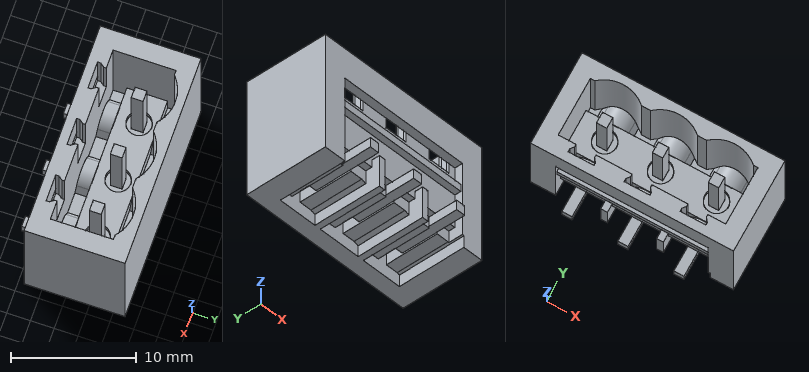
import cadquery as cq
import math


pole_count = 3
pitch = 5.08
pole_xs = [(i - (pole_count - 1) / 2) * pitch for i in range(pole_count)]
rib_xs = [(left + right) / 2 for left, right in zip(pole_xs, pole_xs[1:])]

end_overhang = 4.14
length = (pole_count - 1) * pitch + 2 * end_overhang
depth = 8.5
height = 12.0

cavity_half_length = 7.6
cavity_front = 1.65
cavity_back = 6.95
cavity_floor = 3.0
scallop_half_width = 2.125
scallop_rise = 0.82

web_front = 2.81
web_back = 6.24
web_top = 4.5
pin_recess_diameter = 2.1
pin_recess_depth = 0.5
ridge_half_width = 1.66
ridge_cap_half_width = 1.25
ridge_flank_angle = math.radians(57)

slot_floor = 7.83
slot_neck_half_width = 0.905
slot_half_width = 1.16
slot_neck_end = 1.42
slot_flank_end = 1.09

opening_half_length = 6.92
opening_top = 8.82
thin_wall_front = 0.82
thin_wall_bottom = 2.5
slab_front = 1.47
ledge_bottom = 5.95
ledge_top = 6.7
ledge_projection = 0.64

relief_right_end = 7.09
relief_height = 1.31
relief_flat_half_width = 1.75
relief_slope = 1 / 3
rib_width = 0.63
rib_height = 3.25

pin_width = 0.94
pin_thickness = 1.0
pin_y = 4.72
pin_top = 11.0
leg_bottom = 1.5
leg_projection = 1.5


def box(x_range, y_range, z_range):
    """Box spanning the given (low, high) ranges."""
    sizes = [high - low for low, high in (x_range, y_range, z_range)]
    corner = (x_range[0], y_range[0], z_range[0])
    return cq.Workplane("XY").box(*sizes, centered=False).translate(corner)


def span(centre, width):
    """(low, high) range of a width about its centre."""
    return (centre - width / 2, centre + width / 2)


def front_plane(y):
    """XZ sketch plane at depth y, facing -Y, so negative lengths extrude into the housing."""
    return cq.Workplane(cq.Plane(origin=(0, y, 0), xDir=(1, 0, 0), normal=(0, -1, 0)))


def scallop(x):
    """Shallow round bay in the back wall of the cavity."""
    return (
        cq.Workplane("XY", origin=(0, 0, cavity_floor))
        .moveTo(x - scallop_half_width, cavity_back)
        .threePointArc((x, cavity_back + scallop_rise), (x + scallop_half_width, cavity_back))
        .close()
        .extrude(height - cavity_floor)
    )


def ridge(x):
    """Round-topped ridge along Y on the cavity floor, its flanks tangent to the cap."""
    cap_radius = ridge_cap_half_width / math.sin(ridge_flank_angle)
    shoulder = cavity_floor + (ridge_half_width - ridge_cap_half_width) * math.tan(ridge_flank_angle)
    crest = shoulder + cap_radius * (1 - math.cos(ridge_flank_angle))
    ridge_back = cavity_back + scallop_rise
    profile = (
        front_plane(cavity_front)
        .moveTo(x - ridge_half_width, cavity_floor)
        .lineTo(x - ridge_cap_half_width, shoulder)
        .threePointArc((x, crest), (x + ridge_cap_half_width, shoulder))
        .lineTo(x + ridge_half_width, cavity_floor)
        .close()
    )
    return profile.extrude(cavity_front - ridge_back)


def dovetail_slot(x):
    """Coding slot through the thin wall, wider towards the front."""
    half_outline = [
        (slot_neck_half_width, cavity_front),
        (slot_neck_half_width, slot_neck_end),
        (slot_half_width, slot_flank_end),
        (slot_half_width, thin_wall_front),
    ]
    outline = [(x + dx, y) for dx, y in half_outline]
    outline += [(x - dx, y) for dx, y in reversed(half_outline)]
    return (
        cq.Workplane("XY", origin=(0, 0, slot_floor))
        .polyline(outline)
        .close()
        .extrude(height - slot_floor)
    )


def underside_relief():
    """Relief below the floor slab; its roof is flat over each pole and dips between poles."""
    dip_height = relief_height - relief_slope * (pitch / 2 - relief_flat_half_width)
    end_drop = relief_slope * (relief_right_end - pole_xs[-1] - relief_flat_half_width)
    roof = [(-opening_half_length, relief_height)]
    for pole_x, rib_x in zip(pole_xs, rib_xs):
        roof += [
            (pole_x + relief_flat_half_width, relief_height),
            (rib_x, dip_height),
            (pole_x + pitch - relief_flat_half_width, relief_height),
        ]
    roof += [
        (pole_xs[-1] + relief_flat_half_width, relief_height),
        (relief_right_end, relief_height - end_drop),
    ]
    outline = [(-opening_half_length, 0), *roof, (relief_right_end, 0)]
    return front_plane(0).polyline(outline).close().extrude(-cavity_back)


def pin(x):
    """Right-angle pin: a square post with a leg running out of the front."""
    x_range = span(x, pin_width)
    post_y = span(pin_y, pin_thickness)
    leg_top = leg_bottom + pin_thickness
    post = box(x_range, post_y, (leg_bottom, pin_top))
    leg = box(x_range, (-leg_projection, post_y[1]), (leg_bottom, leg_top))
    return post.union(leg).solids().val()


def pin_channel(x):
    """Channel for the leg of a pin, open to the underside relief and as deep as it."""
    return box(span(x, pin_width), (0, cavity_back), (0, leg_bottom + pin_thickness))


def pin_recess(x):
    """Shallow round recess around a pin in the top of the web."""
    return (
        cq.Workplane("XY", origin=(x, pin_y, web_top - pin_recess_depth))
        .circle(pin_recess_diameter / 2)
        .extrude(pin_recess_depth)
    )


def build_housing():
    """Housing with its cavity, front opening, underside relief and pin seats."""
    cavity_x = (-cavity_half_length, cavity_half_length)
    opening_x = (-opening_half_length, opening_half_length)
    body = box((-length / 2, length / 2), (0, depth), (0, height))

    body = body.cut(box(cavity_x, (cavity_front, cavity_back), (cavity_floor, height)))
    for x in pole_xs:
        body = body.cut(scallop(x))
    for x in pole_xs:
        body = body.union(ridge(x))
    body = body.union(box(cavity_x, (web_front, web_back), (cavity_floor, web_top)))

    body = body.cut(box(opening_x, (0, thin_wall_front), (0, opening_top)))
    body = body.cut(box(opening_x, (0, slab_front), (0, thin_wall_bottom)))
    ledge_front = thin_wall_front - ledge_projection
    body = body.union(box(opening_x, (ledge_front, thin_wall_front), (ledge_bottom, ledge_top)))

    body = body.cut(underside_relief())
    for x in rib_xs:
        rib_x = span(x, rib_width)
        body = body.union(box(rib_x, (0, slab_front), (0, rib_height)))
        body = body.union(box(rib_x, (slab_front, cavity_back), (0, relief_height)))

    for x in pole_xs:
        body = body.cut(dovetail_slot(x)).cut(pin_recess(x))
        body = body.cut(pin_channel(x)).cut(cq.Workplane(obj=pin(x)))
    return body.solids().val()


housing = build_housing()
pins = [pin(x) for x in pole_xs]

result = cq.Compound.makeCompound([housing, *pins])